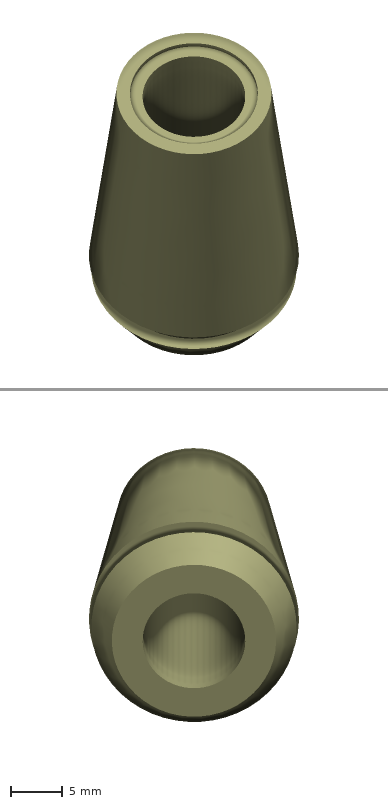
import cadquery as cq

length = 31.0
body_diameter = 20.5
top_diameter = 15.13

groove_diameter = 17.48
groove_top = 5.6
groove_bottom = 3.5
flange_diameter = 20.03
nose_diameter = 16.03

bore_diameter = 10.0
recess_diameter = 12.5
recess_depth = 0.5


def collet_body():
    """Revolve the solid outer profile about the Z axis."""
    profile = [
        (0, 0),
        (nose_diameter / 2, 0),
        (flange_diameter / 2, groove_bottom),
        (groove_diameter / 2, groove_bottom),
        (groove_diameter / 2, groove_top),
        (body_diameter / 2, groove_top),
        (top_diameter / 2, length),
        (0, length),
    ]
    return cq.Workplane("XZ").polyline(profile).close().revolve(360, (0, 0), (0, 1))


def stepped_bore():
    """Through bore that widens into the recess at the top end."""
    bore = cq.Workplane("XY").circle(bore_diameter / 2).extrude(length)
    recess_floor = length - recess_depth
    recess = (
        cq.Workplane("XY")
        .workplane(offset=recess_floor)
        .circle(recess_diameter / 2)
        .extrude(recess_depth)
    )
    return bore.union(recess)


result = collet_body().cut(stepped_bore())